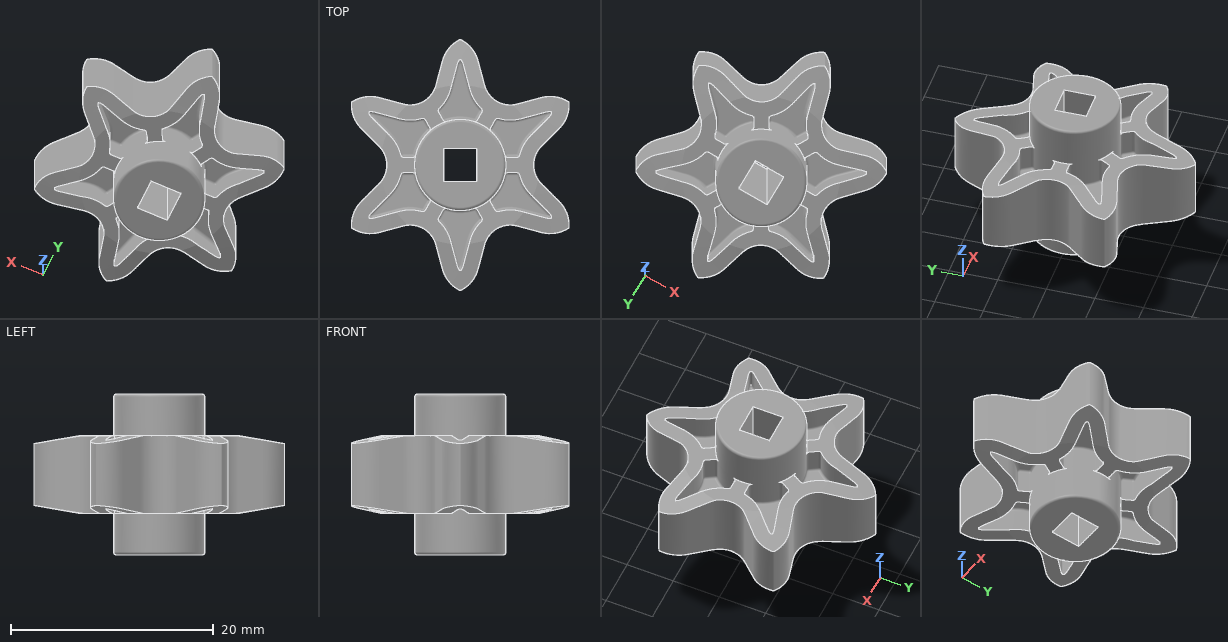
import cadquery as cq
import math

TEETH = 6
TOOTH_PITCH = 360 / TEETH
BODY_HEIGHT = 7.7
TIP_RADIUS = 12.37
TIP_ROUNDING = 0.2
TIP_SIDE_RADIUS = 3.32
FLANK_ANGLE = 15
GAP_FLOOR_RADIUS = 7.25
GAP_ARC_RADIUS = 2.6

TAPER_START_RADIUS = 7.85
TAPER_ANGLE = 10

HUB_RADIUS = 4.5
HUB_HEIGHT = 15.88
HUB_ROUNDING = 0.3
SQUARE_HOLE = 3.25

WALL = 1.5
RIB_WIDTH = WALL
POCKET_DEPTH = 2.85
FLOOR_FILLET = 0.3
RIB_CORNER_FILLET = 0.3
POCKET_TIP_FILLET = 0.15


def turned(point, angle):
    """Point turned about the axis by an angle in degrees."""
    x, y = point
    c = math.cos(math.radians(angle))
    s = math.sin(math.radians(angle))
    return (x * c - y * s, x * s + y * c)


def right_side_of_tooth():
    """Corner points, from gap to tip, on the +X side of the tooth that points to +Y."""
    gap_turn = math.radians(TOOTH_PITCH / 2 + FLANK_ANGLE)
    gap_end = turned(
        (
            GAP_FLOOR_RADIUS + GAP_ARC_RADIUS * (1 - math.cos(gap_turn)),
            GAP_ARC_RADIUS * math.sin(gap_turn),
        ),
        90 - TOOTH_PITCH / 2,
    )
    along = turned((0, 1), FLANK_ANGLE)
    inward = turned((-1, 0), FLANK_ANGLE)

    rounding_y = TIP_RADIUS - TIP_ROUNDING
    dx = -gap_end[0]
    dy = rounding_y - gap_end[1]
    reach = dx * along[0] + dy * along[1]
    depth = dx * inward[0] + dy * inward[1]
    centre_distance = TIP_SIDE_RADIUS - TIP_ROUNDING
    flank_length = reach - math.sqrt(centre_distance**2 - (TIP_SIDE_RADIUS - depth) ** 2)
    flank_end = (
        gap_end[0] + flank_length * along[0],
        gap_end[1] + flank_length * along[1],
    )
    centre = (
        flank_end[0] + TIP_SIDE_RADIUS * inward[0],
        flank_end[1] + TIP_SIDE_RADIUS * inward[1],
    )
    stretch = TIP_SIDE_RADIUS / centre_distance
    tip_start = (
        centre[0] - stretch * centre[0],
        centre[1] + stretch * (rounding_y - centre[1]),
    )
    return gap_end, flank_end, tip_start


def star_outline():
    """Closed star outline; every arc is tangent to the stretch before it."""
    right = right_side_of_tooth()
    gap_end, flank_end, tip_start = right
    left_gap_end, left_flank_end, left_tip_start = [(-x, y) for x, y in right]
    outline = cq.Workplane("XY").moveTo(*gap_end)
    for tooth in range(TEETH):
        turn = tooth * TOOTH_PITCH
        outline = (
            outline
            .lineTo(*turned(flank_end, turn))
            .tangentArcPoint(turned(tip_start, turn), relative=False)
            .tangentArcPoint(turned(left_tip_start, turn), relative=False)
            .tangentArcPoint(turned(left_flank_end, turn), relative=False)
            .lineTo(*turned(left_gap_end, turn))
            .tangentArcPoint(turned(gap_end, turn + TOOTH_PITCH), relative=False)
        )
    return outline.close()


def taper_envelope():
    """Disc that is flat near the axis and thins conically beyond the taper start."""
    half = BODY_HEIGHT / 2
    rim_radius = TIP_RADIUS + TIP_ROUNDING
    rim_half = half - (rim_radius - TAPER_START_RADIUS) * math.tan(math.radians(TAPER_ANGLE))
    return (
        cq.Workplane("XZ")
        .moveTo(0, -half)
        .lineTo(TAPER_START_RADIUS, -half)
        .lineTo(rim_radius, -rim_half)
        .lineTo(rim_radius, rim_half)
        .lineTo(TAPER_START_RADIUS, half)
        .lineTo(0, half)
        .close()
        .revolve(360, (0, 0), (0, 1))
    )


def upper_pocket():
    """Pocket volume in the upper face of the tooth that points to +Y."""
    inside_wall = star_outline().offset2D(-WALL).extrude(POCKET_DEPTH)
    around_hub = inside_wall.cut(cq.Workplane("XY").circle(HUB_RADIUS).extrude(POCKET_DEPTH))
    rib = cq.Workplane("XY").box(2 * TIP_RADIUS, RIB_WIDTH, 2 * POCKET_DEPTH)
    for spoke in range(TEETH // 2):
        around_hub = around_hub.cut(rib.rotate((0, 0, 0), (0, 0, 1), spoke * TOOTH_PITCH))
    pocket = cq.Workplane(around_hub.solids(">Y").val())
    pocket = pocket.edges("|Z").edges(">Y").fillet(POCKET_TIP_FILLET)
    pocket = pocket.edges("|Z").edges(">X or <X or <Y").fillet(RIB_CORNER_FILLET)
    pocket = pocket.faces("<Z").edges().fillet(FLOOR_FILLET)
    return pocket.translate((0, 0, BODY_HEIGHT / 2 - POCKET_DEPTH))


star = star_outline().extrude(BODY_HEIGHT / 2, both=True).intersect(taper_envelope())
pocket = upper_pocket()
pocket_pair = pocket.union(pocket.mirror("XY"))
for tooth in range(TEETH):
    star = star.cut(pocket_pair.rotate((0, 0, 0), (0, 0, 1), tooth * TOOTH_PITCH))

hub = (
    cq.Workplane("XY")
    .circle(HUB_RADIUS)
    .extrude(HUB_HEIGHT / 2, both=True)
    .faces("<Z or >Z")
    .edges()
    .fillet(HUB_ROUNDING)
)
square_hole = cq.Workplane("XY").box(SQUARE_HOLE, SQUARE_HOLE, HUB_HEIGHT)

result = star.union(hub).cut(square_hole)